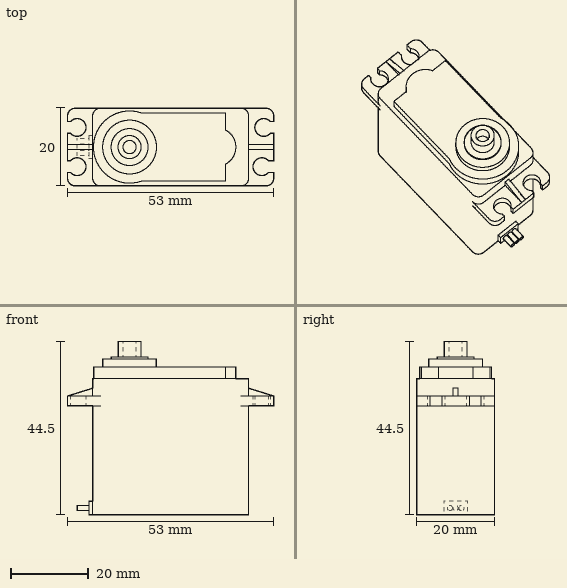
import cadquery as cq


case_width = 20.0
case_height = 35.0
case_left = -9.5
case_right = 30.6
corner_radius = 2.0

ear_bottom = 28.0
ear_top = 30.55
ear_left = -15.95
ear_right = ear_left + 53.0
ear_hole_diameter = 4.5
ear_hole_offset = 5.05
ear_slot_width = 2.95
left_hole_inset = 2.5
right_back_hole_inset = 2.6
right_front_hole_inset = 3.1

rib_width = 1.25
rib_height = 2.0

cover_top = 38.0
cover_round_diameter = 18.55
cover_width = 17.55
cover_end = 24.6
lobe_radius = 5.0
lobe_center = 22.3
boss_diameter = 13.85
boss_top = 40.05
collar_diameter = 9.5
collar_top = 40.55

shaft_diameter = 5.95
shaft_top = 44.55
bore_diameter = 3.4

outlet_length = 0.95
outlet_width = 6.0
outlet_height = 3.55
wire_count = 3
wire_diameter = 1.3
wire_length = 3.0
wire_pitch = 1.5
wire_level = 1.75


def block(left, right, width, bottom, top):
    """Box centred in Y, given by its X and Z limits."""
    return cq.Workplane("XY").box(
        right - left, width, top - bottom, centered=(False, True, False)
    ).translate((left, 0, bottom))


def disc(diameter, bottom, top, x=0, y=0):
    """Vertical cylinder."""
    return cq.Workplane("XY", origin=(x, y, bottom)).circle(diameter / 2).extrude(top - bottom)


def make_case():
    return block(case_left, case_right, case_width, 0, case_height).edges("|Z").fillet(corner_radius)


def make_ear_plate():
    """Plate through the case that forms both ears, with four open-ended screw holes."""
    plate = block(ear_left, ear_right, case_width, ear_bottom, ear_top)
    plate = plate.edges("|Z").fillet(corner_radius)
    holes = [
        (ear_left, ear_left + left_hole_inset, ear_hole_offset),
        (ear_left, ear_left + left_hole_inset, -ear_hole_offset),
        (ear_right, ear_right - right_back_hole_inset, ear_hole_offset),
        (ear_right, ear_right - right_front_hole_inset, -ear_hole_offset),
    ]
    for end_x, hole_x, hole_y in holes:
        hole = disc(ear_hole_diameter, ear_bottom, ear_top, hole_x, hole_y)
        slot = block(min(end_x, hole_x), max(end_x, hole_x), ear_slot_width, ear_bottom, ear_top)
        plate = plate.cut(hole).cut(slot.translate((0, hole_y, 0)))
    return plate


def make_rib(case_x, end_x):
    """Triangular rib, highest at the case and running out at the end of the ear."""
    outline = [(case_x, ear_top), (end_x, ear_top), (case_x, ear_top + rib_height)]
    return cq.Workplane("XZ").polyline(outline).close().extrude(rib_width / 2, both=True)


def make_cover():
    """Round around the shaft, straight-sided along the case, with a rounded lobe at the end."""
    cover = disc(cover_round_diameter, case_height, cover_top)
    cover = cover.union(block(0, cover_end, cover_width, case_height, cover_top))
    return cover.union(disc(2 * lobe_radius, case_height, cover_top, lobe_center))


def make_boss():
    boss = disc(boss_diameter, cover_top, boss_top)
    return boss.union(disc(collar_diameter, boss_top, collar_top))


def make_cable_outlet():
    outlet_left = case_left - outlet_length
    outlet = block(outlet_left, case_left, outlet_width, 0, outlet_height)
    for index in range(wire_count):
        wire_y = (index - (wire_count - 1) / 2) * wire_pitch
        wire = cq.Workplane("YZ", origin=(outlet_left, wire_y, wire_level))
        outlet = outlet.union(wire.circle(wire_diameter / 2).extrude(-wire_length))
    return outlet


def make_housing():
    housing = make_case().union(make_ear_plate())
    housing = housing.union(make_rib(case_left, ear_left))
    housing = housing.union(make_rib(case_right, ear_right))
    return housing.union(make_cover()).union(make_boss()).union(make_cable_outlet())


def make_shaft():
    """Hollow output shaft standing on the collar."""
    return disc(shaft_diameter, collar_top, shaft_top).cut(disc(bore_diameter, collar_top, shaft_top))


housing = make_housing()
output_shaft = make_shaft()

result = cq.Compound.makeCompound([housing.solids().val(), output_shaft.solids().val()])